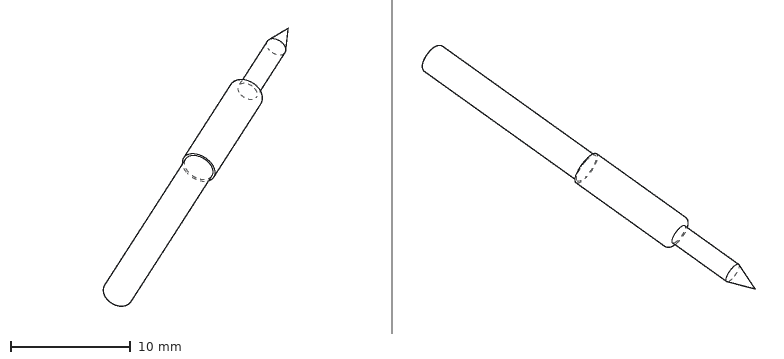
import cadquery as cq

total_length = 35.3
tip_length = 2.47
plunger_length = 8.33
collar_length = 10.03
plunger_radius = 0.9
collar_radius = 1.5
barrel_radius = 1.3
edge_round = 0.4

tip_base_y = total_length - tip_length
collar_front_y = total_length - plunger_length
collar_back_y = collar_front_y - collar_length


def solid_of_revolution():
    """Half profile of the pin (radius, axial position) turned around Y."""
    profile = (
        cq.Workplane("XY")
        .moveTo(0, 0)
        .lineTo(barrel_radius - edge_round, 0)
        .radiusArc((barrel_radius, edge_round), -edge_round)
        .lineTo(barrel_radius, collar_back_y)
        .lineTo(collar_radius, collar_back_y)
        .lineTo(collar_radius, collar_front_y - edge_round)
        .radiusArc((collar_radius - edge_round, collar_front_y), -edge_round)
        .lineTo(plunger_radius, collar_front_y)
        .lineTo(plunger_radius, tip_base_y)
        .lineTo(0, total_length)
        .close()
    )
    return profile.revolve(360, (0, 0), (0, 1))


result = solid_of_revolution()